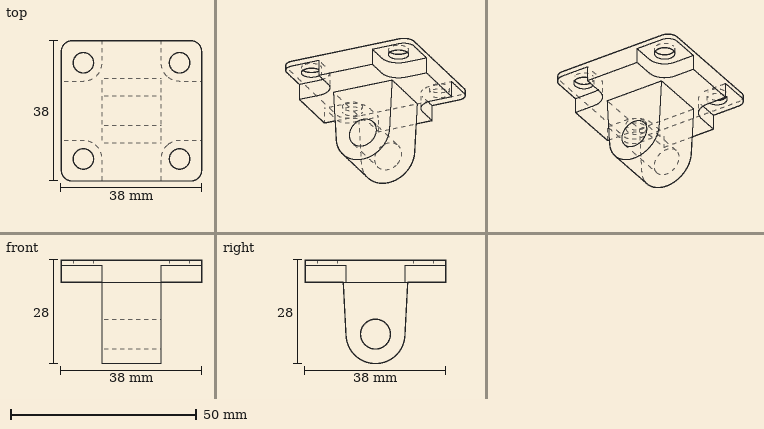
import cadquery as cq
import math

plate_side = 38.0
plate_thickness = 1.5
plate_corner_radius = 3.0
total_height = 28.0

screw_offset = 13.0
screw_diameter = 5.47

arm_width = 16.0
cross_bottom = -6.0
cross_fillet = screw_offset - arm_width / 2

lug_radius = arm_width / 2
lug_bore_diameter = 8.0
lug_draft = math.radians(3)
lug_center_z = lug_radius - total_height


def make_plate():
    """Square plate with rounded corners."""
    return (
        cq.Workplane("XY")
        .rect(plate_side, plate_side)
        .extrude(-plate_thickness)
        .edges("|Z")
        .fillet(plate_corner_radius)
    )


def make_cross():
    """Cross under the plate, with its four inner corners filleted."""
    arm_x = cq.Workplane("XY").rect(plate_side, arm_width).extrude(cross_bottom)
    arm_y = cq.Workplane("XY").rect(arm_width, plate_side).extrude(cross_bottom)
    inner_corners = cq.selectors.BoxSelector(
        (-screw_offset, -screw_offset, cross_bottom),
        (screw_offset, screw_offset, 0),
    )
    return arm_x.union(arm_y).edges("|Z").edges(inner_corners).fillet(cross_fillet)


def make_lug():
    """Lug whose drafted sides run tangent into its round end."""
    tangent_y = lug_radius * math.cos(lug_draft)
    tangent_z = lug_center_z - lug_radius * math.sin(lug_draft)
    top_y = tangent_y + (cross_bottom - tangent_z) * math.tan(lug_draft)
    return (
        cq.Workplane("YZ")
        .moveTo(-top_y, cross_bottom)
        .lineTo(-tangent_y, tangent_z)
        .threePointArc((0, -total_height), (tangent_y, tangent_z))
        .lineTo(top_y, cross_bottom)
        .close()
        .extrude(arm_width / 2, both=True)
    )


def make_screw_holes():
    """Cutters for the four holes through the plate."""
    return (
        cq.Workplane("XY")
        .rect(2 * screw_offset, 2 * screw_offset, forConstruction=True)
        .vertices()
        .circle(screw_diameter / 2)
        .extrude(cross_bottom)
    )


def make_lug_bore():
    """Cutter for the cross bore through the lug, along X."""
    return (
        cq.Workplane("YZ")
        .center(0, lug_center_z)
        .circle(lug_bore_diameter / 2)
        .extrude(arm_width, both=True)
    )


body = make_plate().union(make_cross()).union(make_lug())
result = body.cut(make_screw_holes()).cut(make_lug_bore())